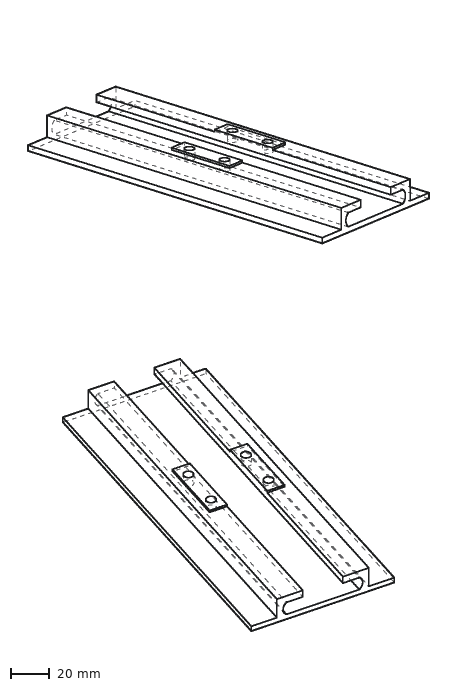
import cadquery as cq

length = 200.0
plate_width = 84.0
plate_thickness = 3.2

rail_outer_y = 27.0
lip_inner_y = 11.8
lip_bottom_z = 11.0
total_height = 16.5
pad_height = 1.2
rail_top_z = total_height - pad_height

undercut_edge_y = 21.5
undercut_depth_y = 23.5
undercut_mid_z = (plate_thickness + lip_bottom_z) / 2

pad_length = 39.5
pad_width = 10.2
hole_diameter = 5.5
hole_spacing = 24.0
hole_y = lip_inner_y + pad_width / 2


def make_plate():
    return cq.Workplane("XY").box(length, plate_width, plate_thickness, centered=(True, True, False))


def make_rail():
    """Hooked rail on the +Y side, running the full length."""
    return (
        cq.Workplane("YZ", origin=(-length / 2, 0, 0))
        .moveTo(rail_outer_y, 0)
        .lineTo(rail_outer_y, rail_top_z)
        .lineTo(lip_inner_y, rail_top_z)
        .lineTo(lip_inner_y, lip_bottom_z)
        .lineTo(undercut_edge_y, lip_bottom_z)
        .threePointArc((undercut_depth_y, undercut_mid_z), (undercut_edge_y, plate_thickness))
        .lineTo(undercut_edge_y, 0)
        .close()
        .extrude(length)
    )


def make_pad():
    """Raised pad on the +Y lip."""
    return (
        cq.Workplane("XY", origin=(0, hole_y, rail_top_z))
        .box(pad_length, pad_width, pad_height, centered=(True, True, False))
    )


def make_holes():
    """Cutters that pass through the pad and the lip, ending at the lip underside."""
    return (
        cq.Workplane("XY", origin=(0, hole_y, lip_bottom_z))
        .pushPoints([(-hole_spacing / 2, 0), (hole_spacing / 2, 0)])
        .circle(hole_diameter / 2)
        .extrude(total_height - lip_bottom_z)
    )


side = make_rail().union(make_pad()).cut(make_holes())
result = make_plate().union(side).union(side.mirror("XZ"))